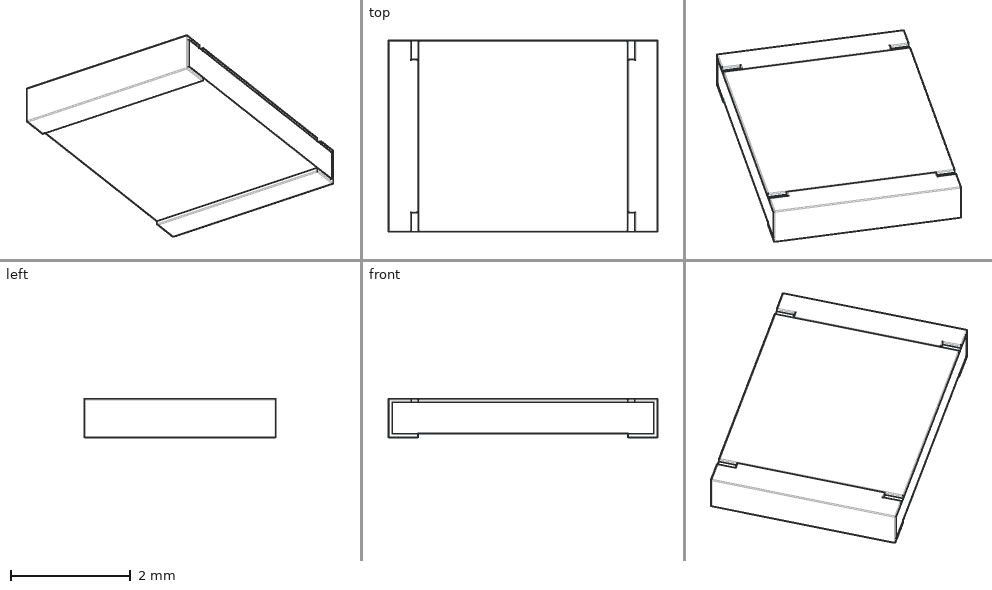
import cadquery as cq

chip_length = 4.5
chip_width = 3.2
chip_height = 0.65

layer_thickness = 0.065
terminal_length = 0.5
notch_length = 0.115
notch_width = 0.32
edge_radius = layer_thickness / 4

core_length = chip_length - 2 * layer_thickness
core_height = chip_height - 2 * layer_thickness
core_top = chip_height - layer_thickness
coat_length = chip_length - 2 * terminal_length

ON_FLOOR = (True, True, False)


def make_core():
    """Plain ceramic block, as wide as the whole chip."""
    return (
        cq.Workplane("XY")
        .workplane(offset=layer_thickness)
        .box(core_length, chip_width, core_height, centered=ON_FLOOR)
    )


def make_coat():
    """Cover plate on the core between the terminals, rounded along its top rim."""
    return (
        cq.Workplane("XY")
        .workplane(offset=core_top)
        .box(coat_length, chip_width, layer_thickness, centered=ON_FLOOR)
        .faces(">Z")
        .edges()
        .fillet(edge_radius)
    )


def make_terminal(core):
    """C-shaped cap around the -X end of the core, with a notch at each corner of its top flap."""
    outer_end = -chip_length / 2
    cap = (
        cq.Workplane("XY")
        .box(terminal_length, chip_width, chip_height, centered=ON_FLOOR)
        .translate((outer_end + terminal_length / 2, 0, 0))
        .cut(core)
    )
    notches = (
        cq.Workplane("XY")
        .workplane(offset=core_top)
        .pushPoints([(-coat_length / 2, side * chip_width / 2) for side in (-1, 1)])
        .box(2 * notch_length, 2 * notch_width, layer_thickness, centered=ON_FLOOR)
    )
    return cap.cut(notches).faces("<X or >Z or <Z").edges().fillet(edge_radius)


core = make_core()
coat = make_coat()
left_terminal = make_terminal(core)
terminals = [left_terminal.rotate((0, 0, 0), (0, 0, 1), angle) for angle in (0, 180)]

result = cq.Compound.makeCompound(
    [core.val(), coat.val(), *[terminal.val() for terminal in terminals]]
)